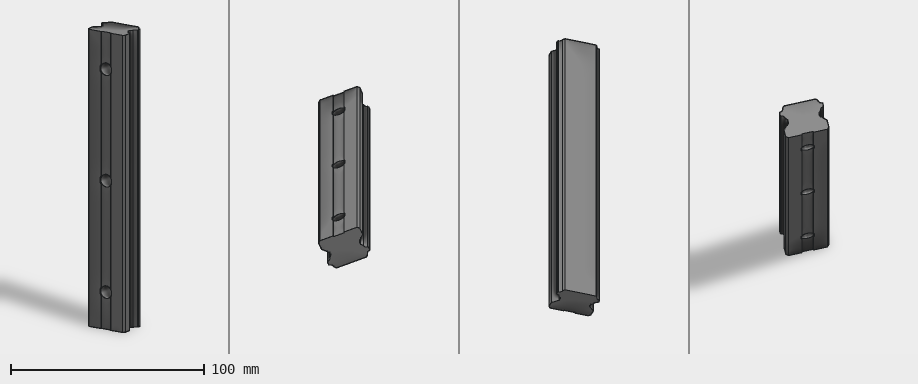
import cadquery as cq
import math

width = 23.0
height = 18.0
length = 160.0
half_width = width / 2

foot_chamfer = 1.1
foot_side_top = 5.0
relief_half_width = 3.0
relief_depth = 0.5
relief_slope_run = 0.2

waist_half_width = 8.3
waist_bottom = foot_side_top + half_width - waist_half_width
waist_top = 10.0

lower_groove_half_width = 9.5
lower_groove_start = waist_top + lower_groove_half_width - waist_half_width
lip_bottom = 12.6
lip_top = 14.7
lip_chamfer = 0.3
lip_underside_run = 0.3
lip_underside_rise = 0.8
upper_groove_half_width = 9.5
upper_groove_top = 16.8
top_half_width = 8.5

hole_diameter = 6.7
hole_mouth_diameter = 7.4
hole_depth = 12.0
hole_pitch = 60.0
hole_count = 3


def bulge_point(start, end, arc_centre):
    """Point where a groove arc from start to end reaches deepest into the rail."""
    radius_x = abs(end[0] - start[0])
    radius_y = abs(end[1] - start[1])
    diagonal = math.sqrt(0.5)
    step_y = math.copysign(radius_y, start[1] + end[1] - 2 * arc_centre[1])
    return (arc_centre[0] - diagonal * radius_x, arc_centre[1] + diagonal * step_y)


def half_profile():
    """Right half of the rail section, closed along its centre line."""
    lower_start = (lower_groove_half_width, lower_groove_start)
    lower_end = (half_width - lip_underside_run, lip_bottom)
    lower_centre = (lower_end[0], lower_start[1])
    upper_start = (half_width - lip_chamfer, lip_top + lip_chamfer)
    upper_end = (upper_groove_half_width, upper_groove_top)
    upper_centre = (upper_start[0], upper_end[1])
    return (
        cq.Workplane("XY", origin=(0, -height / 2, -length / 2))
        .moveTo(0, relief_depth)
        .lineTo(relief_half_width - relief_slope_run, relief_depth)
        .lineTo(relief_half_width, 0)
        .lineTo(half_width - foot_chamfer, 0)
        .lineTo(half_width, foot_chamfer)
        .lineTo(half_width, foot_side_top)
        .lineTo(waist_half_width, waist_bottom)
        .lineTo(waist_half_width, waist_top)
        .lineTo(*lower_start)
        .threePointArc(bulge_point(lower_start, lower_end, lower_centre), lower_end)
        .lineTo(half_width, lip_bottom + lip_underside_rise)
        .lineTo(half_width, lip_top)
        .lineTo(*upper_start)
        .threePointArc(bulge_point(upper_start, upper_end, upper_centre), upper_end)
        .lineTo(top_half_width, height)
        .lineTo(0, height)
        .close()
    )


def mounting_hole():
    """Blind hole at mid-length of the underside, with a conical mouth ending at the relief floor."""
    half_hole = (
        cq.Workplane("XY", origin=(0, -height / 2, 0))
        .lineTo(hole_mouth_diameter / 2, 0)
        .lineTo(hole_diameter / 2, relief_depth)
        .lineTo(hole_diameter / 2, hole_depth)
        .lineTo(0, hole_depth)
        .close()
    )
    return half_hole.revolve(360, (0, 0, 0), (0, 1, 0))


half_rail = half_profile().extrude(length)
rail = half_rail.union(half_rail.mirror("YZ")).clean()
for index in range(hole_count):
    hole_z = (index - (hole_count - 1) / 2) * hole_pitch
    rail = rail.cut(mounting_hole().translate((0, 0, hole_z)))
result = rail